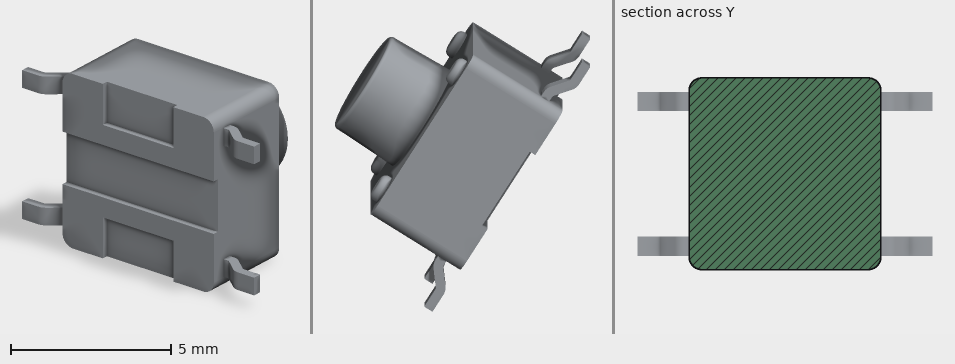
import cadquery as cq
import math


BODY_SIDE = 6.0
BODY_HEIGHT = 3.3
BODY_CORNER_RADIUS = 0.41

RECESS_DEPTH = 0.2
GROOVE_WIDTH = 1.8
NOTCH_LENGTH = 2.8
NOTCH_WIDTH = 1.41

TOTAL_HEIGHT = 5.5
BUTTON_ROOT_DIAMETER = 3.5
BUTTON_TOP_DIAMETER = 3.35
BUTTON_FILLET = 0.11

RIVET_DIAMETER = 0.9
RIVET_HEIGHT = 0.29
RIVET_FILLET = 0.19
RIVET_OFFSET = 2.2

LEG_SPAN = 9.2
LEG_WIDTH = 0.61
LEG_THICKNESS = 0.3
LEG_OFFSET = 2.25
LEG_RISE = 0.5
FOOT_LENGTH = 0.64
SHOULDER_LENGTH = 0.17
BEND_INNER_RADIUS = 0.1


def make_body():
    """Square block with rounded corners, a central groove and two edge notches in its base."""
    body = (
        cq.Workplane("XY")
        .box(BODY_SIDE, BODY_HEIGHT, BODY_SIDE, centered=(True, False, True))
        .edges("|Y")
        .fillet(BODY_CORNER_RADIUS)
    )
    recess_centering = (True, False, True)
    groove = cq.Workplane("XY").box(BODY_SIDE, RECESS_DEPTH, GROOVE_WIDTH, centered=recess_centering)
    body = body.cut(groove)
    notch_offset = (BODY_SIDE - NOTCH_WIDTH) / 2
    for side in (-1, 1):
        notch = (
            cq.Workplane("XY")
            .box(NOTCH_LENGTH, RECESS_DEPTH, NOTCH_WIDTH, centered=recess_centering)
            .translate((0, 0, side * notch_offset))
        )
        body = body.cut(notch)
    return body


def body_top_plane():
    """Plane on the top face of the body, facing +Y."""
    return cq.Workplane("XZ", origin=(0, BODY_HEIGHT, 0))


def make_button():
    """Slightly tapered round button with a filleted rim."""
    height = TOTAL_HEIGHT - BODY_HEIGHT
    taper = math.degrees(math.atan2((BUTTON_ROOT_DIAMETER - BUTTON_TOP_DIAMETER) / 2, height))
    return (
        body_top_plane()
        .circle(BUTTON_ROOT_DIAMETER / 2)
        .extrude(-height, taper=taper)
        .faces(">Y")
        .edges()
        .fillet(BUTTON_FILLET)
    )


def make_rivets():
    """Four domed rivet heads near the corners of the body."""
    return (
        body_top_plane()
        .rect(2 * RIVET_OFFSET, 2 * RIVET_OFFSET, forConstruction=True)
        .vertices()
        .circle(RIVET_DIAMETER / 2)
        .extrude(-RIVET_HEIGHT)
        .faces(">Y")
        .edges()
        .fillet(RIVET_FILLET)
    )


def make_leg():
    """Strip on the +X side, bent from a raised shoulder down to a flat foot."""
    root_x = BODY_SIDE / 2
    tip_x = LEG_SPAN / 2
    inner_radius = BEND_INNER_RADIUS
    outer_radius = inner_radius + LEG_THICKNESS

    shoulder_x = root_x + SHOULDER_LENGTH
    shoulder_y = LEG_RISE - inner_radius
    foot_x = tip_x - FOOT_LENGTH
    foot_y = LEG_THICKNESS + inner_radius
    run = foot_x - shoulder_x
    rise = shoulder_y - foot_y
    slope = math.atan2(rise, run) + math.asin((inner_radius + outer_radius) / math.hypot(run, rise))

    def shoulder_point(radius, angle):
        return (shoulder_x + radius * math.sin(angle), shoulder_y + radius * math.cos(angle))

    def foot_point(radius, angle):
        return (foot_x - radius * math.sin(angle), foot_y - radius * math.cos(angle))

    return (
        cq.Workplane("XY", origin=(0, 0, -LEG_WIDTH / 2))
        .moveTo(root_x, LEG_RISE + LEG_THICKNESS)
        .lineTo(*shoulder_point(outer_radius, 0))
        .threePointArc(shoulder_point(outer_radius, slope / 2), shoulder_point(outer_radius, slope))
        .lineTo(*foot_point(inner_radius, slope))
        .threePointArc(foot_point(inner_radius, slope / 2), foot_point(inner_radius, 0))
        .lineTo(tip_x, LEG_THICKNESS)
        .lineTo(tip_x, 0)
        .lineTo(*foot_point(outer_radius, 0))
        .threePointArc(foot_point(outer_radius, slope / 2), foot_point(outer_radius, slope))
        .lineTo(*shoulder_point(inner_radius, slope))
        .threePointArc(shoulder_point(inner_radius, slope / 2), shoulder_point(inner_radius, 0))
        .lineTo(root_x, LEG_RISE)
        .close()
        .extrude(LEG_WIDTH)
    )


result = make_body().union(make_button()).union(make_rivets())

right_leg = make_leg()
left_leg = right_leg.mirror("YZ")
for leg_z in (-LEG_OFFSET, LEG_OFFSET):
    for leg in (left_leg, right_leg):
        result = result.union(leg.translate((0, 0, leg_z)))